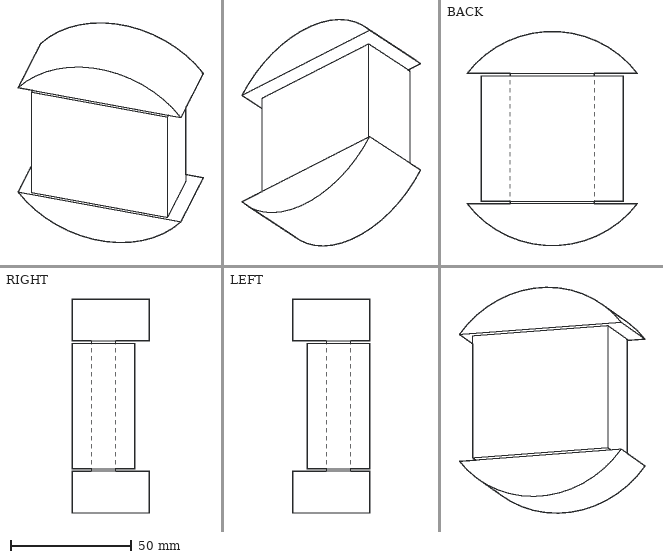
import cadquery as cq
import math

pole_radius = 44.45
shoe_inner_z = 27.0
core_depth = 32.0
stem_width = 35.0
stem_depth = 10.0

winding_width = 59.0
winding_depth = 26.0
winding_height = 52.0

front_y = -core_depth / 2
winding_center_y = front_y + winding_depth / 2
shoe_half_chord = math.sqrt(pole_radius**2 - shoe_inner_z**2)


def centered_box(width, depth, height):
    """Box centred on the stem axis."""
    return cq.Workplane("XY").box(width, depth, height).translate((0, winding_center_y, 0))


def pole_shoe(side):
    """Circular segment above (side = 1) or below (side = -1) the winding."""
    return (
        cq.Workplane("XZ", origin=(0, front_y, 0))
        .moveTo(-shoe_half_chord, side * shoe_inner_z)
        .threePointArc((0, side * pole_radius), (shoe_half_chord, side * shoe_inner_z))
        .close()
        .extrude(-core_depth)
    )


def make_stem():
    """Flat bar that runs between the inner faces of the two shoes."""
    return centered_box(stem_width, stem_depth, 2 * shoe_inner_z)


def make_core():
    """Both pole shoes and the stem as one solid."""
    core = make_stem()
    for side in (1, -1):
        core = core.union(pole_shoe(side))
    return core


def make_winding():
    """Block with a through opening that fits the stem."""
    return centered_box(winding_width, winding_depth, winding_height).cut(make_stem())


core = make_core()
winding = make_winding()

result = cq.Compound.makeCompound([core.val(), winding.val()])